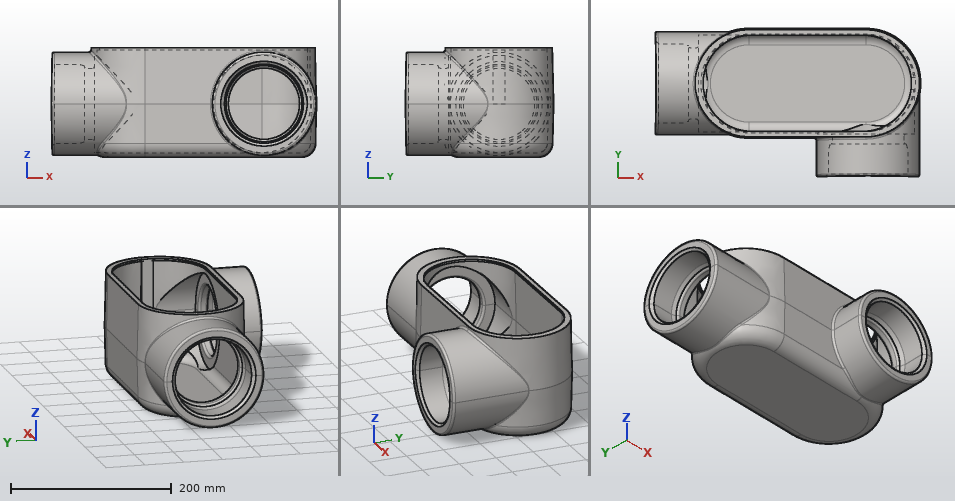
import cadquery as cq
import math

LENGTH = 330.5
HEIGHT = 136.5
DEPTH = 184.7

PARTING_Z = 66.8
BODY_RADIUS = 68.5
BODY_LEFT = 48.0
UPPER_RISE = HEIGHT - PARTING_Z
DRAFT_ANGLE = 1.4
BOTTOM_FILLET = 18.2
LEFT_CENTER_X = BODY_LEFT + BODY_RADIUS
RIGHT_CENTER_X = LENGTH - BODY_RADIUS

WALL = 7.0
CAVITY_RADIUS = BODY_RADIUS - WALL
FLOOR_THICKNESS = 6.0
FLOOR_FILLET = 12.2

LIP_HEIGHT = 2.5
LIP_OVERHANG = 3.0
PAD_WIDTH = 15.0
PAD_FACE_X = 318.5

HUB_RADIUS = 128.5 / 2
HUB_EDGE_FILLET = 3.0
HUB_ROOT_FILLET = 2.5
HUB_FACE_DRAFT = 1.0
FRONT_HUB_X = 264.7
FRONT_HUB_FACE_Y = BODY_RADIUS - DEPTH

MOUTH_RADIUS = 54.0
SOCKET_RADIUS = 49.2
STOP_RADIUS = 47.3
THROAT_RADIUS = 44.3
MOUTH_DEPTH = 4.0
SOCKET_DEPTH = 34.5
STOP_DEPTH = 41.0
THROAT_END_DEPTH = 50.5
BEAD_ROUNDING = STOP_RADIUS - THROAT_RADIUS
BORE_END_DEPTH = THROAT_END_DEPTH + BEAD_ROUNDING

CHAMBER_RADIUS = 60.5

LEFT_OVERRUN = 19.8
LEFT_REACH = LEFT_CENTER_X + LEFT_OVERRUN
FRONT_REACH = -FRONT_HUB_FACE_Y - PAD_WIDTH / 2

ROOT_TOLERANCE = 0.03


def round_ended(radius, end_shift=0.0):
    """Sketch on the parting plane with its round ends moved inward by end_shift."""
    span = RIGHT_CENTER_X - LEFT_CENTER_X - 2 * end_shift
    middle = (LEFT_CENTER_X + RIGHT_CENTER_X) / 2
    return cq.Workplane("XY", origin=(middle, 0, PARTING_Z)).slot2D(span + 2 * radius, 2 * radius)


def lower_block(radius, drop, edge_fillet):
    """Round-ended block that narrows downward from the parting plane to a rounded bottom edge."""
    block = round_ended(radius).extrude(-drop, taper=DRAFT_ANGLE)
    return block.faces("<Z").edges().fillet(edge_fillet)


def upper_block(radius, rise):
    """Round-ended block that narrows upward from the parting plane."""
    return round_ended(radius).extrude(rise, taper=DRAFT_ANGLE)


def upper_cavity():
    """Cavity above the parting plane, with the rim lip and the end pad left standing."""
    rim_radius = CAVITY_RADIUS - UPPER_RISE * math.tan(math.radians(DRAFT_ANGLE))
    opening = round_ended(rim_radius, LIP_OVERHANG).extrude(UPPER_RISE)
    return upper_block(CAVITY_RADIUS, UPPER_RISE - LIP_HEIGHT).union(opening).cut(end_pad())


def end_pad():
    """Flat pad on the closed end wall, above the parting plane."""
    length = LENGTH - WALL / 2 - PAD_FACE_X
    return cq.Workplane("XY", origin=(PAD_FACE_X, 0, PARTING_Z)).box(
        length, PAD_WIDTH, UPPER_RISE, centered=(False, True, False)
    )


def half_hub(length):
    """Upper half of a solid hub along +X, its face at the origin drafted back as it rises."""
    setback = HUB_RADIUS * math.tan(math.radians(HUB_FACE_DRAFT))
    side = [(0, 0), (setback, HUB_RADIUS), (length, HUB_RADIUS), (length, 0)]
    envelope = cq.Workplane("XZ").polyline(side).close().extrude(2 * HUB_RADIUS, both=True)
    half = cq.Workplane("YZ").circle(HUB_RADIUS).extrude(length).intersect(envelope)
    return half.edges("%ELLIPSE").fillet(HUB_EDGE_FILLET)


def half_bore():
    """Upper half of a bore: mouth chamfer, socket, tapered stop and rounded throat."""
    outline = (
        cq.Workplane("XY")
        .moveTo(-MOUTH_DEPTH, 0)
        .lineTo(-MOUTH_DEPTH, 2 * MOUTH_RADIUS - SOCKET_RADIUS)
        .lineTo(MOUTH_DEPTH, SOCKET_RADIUS)
        .lineTo(SOCKET_DEPTH, SOCKET_RADIUS)
        .lineTo(STOP_DEPTH, STOP_RADIUS)
        .radiusArc((STOP_DEPTH + BEAD_ROUNDING, THROAT_RADIUS), -BEAD_ROUNDING)
        .lineTo(THROAT_END_DEPTH, THROAT_RADIUS)
        .radiusArc((BORE_END_DEPTH, STOP_RADIUS), -BEAD_ROUNDING)
        .lineTo(BORE_END_DEPTH, 0)
        .close()
    )
    return outline.revolve(180, (0, 0, 0), (1, 0, 0))


def half_chamber(reach, offset):
    """Upper half of the chamber from the end of the bore, set sideways from the hub axis by offset."""
    start = cq.Workplane("YZ", origin=(BORE_END_DEPTH, offset, 0))
    bar = start.circle(CHAMBER_RADIUS).extrude(reach - BORE_END_DEPTH)
    upper_side = cq.Workplane("XY").rect(4 * reach, 4 * reach).extrude(2 * CHAMBER_RADIUS)
    return bar.intersect(upper_side)


def place_left(shape):
    return shape.translate((0, 0, PARTING_Z))


def place_front(shape):
    turned = shape.rotate((0, 0, 0), (0, 0, 1), 90)
    return turned.translate((FRONT_HUB_X, FRONT_HUB_FACE_Y, PARTING_Z))


def on_left_root(point):
    on_surface = abs(math.hypot(point.y, point.z - PARTING_Z) - HUB_RADIUS) < ROOT_TOLERANCE
    return on_surface and BODY_LEFT < point.x < LEFT_CENTER_X


def on_front_root(point):
    on_surface = abs(math.hypot(point.x - FRONT_HUB_X, point.z - PARTING_Z) - HUB_RADIUS) < ROOT_TOLERANCE
    return on_surface and -BODY_RADIUS - ROOT_TOLERANCE < point.y < 0


def round_root(body, on_root):
    """Fillet the curved edges along which a hub meets the body."""
    roots = [
        edge
        for edge in body.edges("not %LINE").vals()
        if all(on_root(edge.positionAt(fraction)) for fraction in (0.1, 0.5, 0.9))
    ]
    return body.newObject(roots).fillet(HUB_ROOT_FILLET)


def shell_half(block, space, is_lower):
    """Add both hubs to half of the body, round their roots, then hollow it out."""
    def face_up_or_down(shape):
        return shape.mirror("XY") if is_lower else shape

    hubs = (
        (place_left, LEFT_REACH, 0, on_left_root),
        (place_front, FRONT_REACH, FRONT_HUB_X - RIGHT_CENTER_X, on_front_root),
    )
    half = block
    for place, reach, _, _ in hubs:
        half = half.union(place(face_up_or_down(half_hub(reach))))
    for _, _, _, on_root in hubs:
        half = round_root(half, on_root)
    half = half.cut(space)
    for place, reach, offset, _ in hubs:
        half = half.cut(place(face_up_or_down(half_chamber(reach, offset))))
        half = half.cut(place(face_up_or_down(half_bore())))
    return half


upper_half = shell_half(upper_block(BODY_RADIUS, UPPER_RISE), upper_cavity(), is_lower=False)
lower_half = shell_half(
    lower_block(BODY_RADIUS, PARTING_Z, BOTTOM_FILLET),
    lower_block(CAVITY_RADIUS, PARTING_Z - FLOOR_THICKNESS, FLOOR_FILLET),
    is_lower=True,
)

result = upper_half.union(lower_half, clean=False)